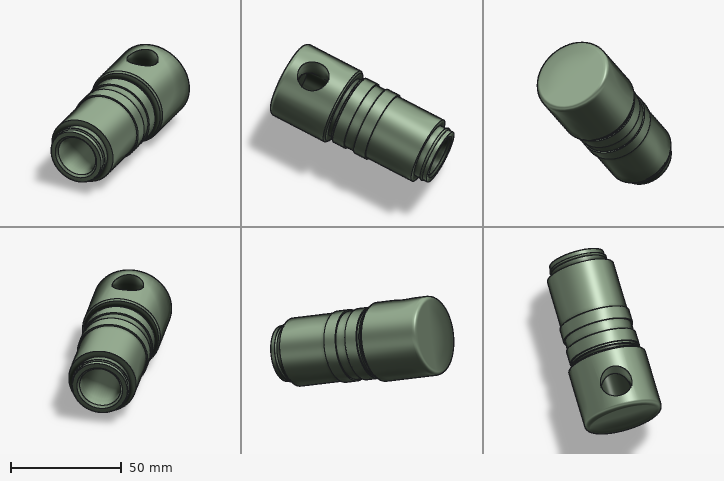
import cadquery as cq

total_length = 79.0

head_radius = 18.0
head_front = 29.1
rear_fillet = 2.1
front_chamfer = 0.8

neck_radius = 14.45
body_radius = 15.6
body_rear = 31.2
body_front = 72.6
band_radius = 16.3
band_width = 5.9
band_rear_stations = (32.15, 43.1)

spigot_radius = 12.7
ridge_station = 76.3
ridge_height = 0.55
ridge_section_radius = 0.6

bore_radius = 9.5
bore_end = head_front
mouth_chamfer = 1.0
passage_radius = 7.1
port_station = 13.0
passage_overrun = 0.1
passage_end = port_station - passage_radius - passage_overrun


def cylinder(radius, rear, front):
    """Solid cylinder on the Y axis between two stations."""
    return cq.Workplane("XZ", origin=(0, -rear, 0)).circle(radius).extrude(front - rear)


def make_head():
    head = cylinder(head_radius, 0, head_front)
    return head.faces(">Y").edges().fillet(rear_fillet).faces("<Y").edges().chamfer(front_chamfer)


def make_ridge():
    section_center = spigot_radius + ridge_height - ridge_section_radius
    section = cq.Workplane("XY").center(section_center, -ridge_station).circle(ridge_section_radius)
    return section.revolve(360, (-section_center, 0, 0), (-section_center, 1, 0))


def make_outside():
    outside = make_head()
    outside = outside.union(cylinder(neck_radius, head_front, body_rear))
    outside = outside.union(cylinder(body_radius, body_rear, body_front))
    for rear in band_rear_stations:
        outside = outside.union(cylinder(band_radius, rear, rear + band_width))
    outside = outside.union(cylinder(spigot_radius, body_front, total_length))
    return outside.union(make_ridge())


def make_passage():
    profile = [
        (0, -passage_end),
        (passage_radius, -passage_end),
        (passage_radius, -bore_end),
        (bore_radius, -bore_end),
        (bore_radius, mouth_chamfer - total_length),
        (bore_radius + mouth_chamfer, -total_length),
        (0, -total_length),
    ]
    passage = cq.Workplane("XY").polyline(profile).close().revolve(360, (0, 0, 0), (0, 1, 0))
    port = cq.Workplane("XY").center(0, -port_station).circle(passage_radius).extrude(head_radius)
    return passage.union(port)


result = make_outside().cut(make_passage())